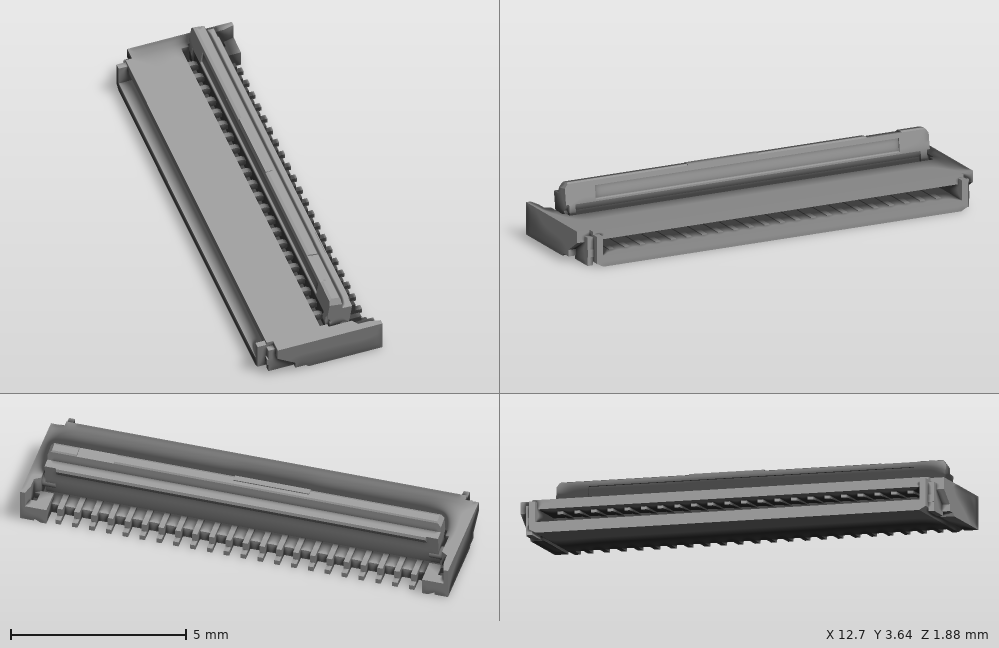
import cadquery as cq

WIDTH = 12.7
DEPTH = 3.64
BODY_TOP = 1.0
CORE_HALF = 5.95
SIDE_BOTTOM = 0.03
ROOF_FRONT = 0.27
JAW_TOP = 0.915
CORNER_CHAMFER_X = 0.2
CORNER_CHAMFER_Z = 0.11

SLOT_HALF = 5.77
SLOT_FLOOR = 0.31
SLOT_ROOF = 0.727
SLOT_REAR = 1.75
WINDOW_HALF = 5.84
WINDOW_FRONT = 1.92
PIVOT_POCKET_FRONT = 2.15
FLOOR_REAR = 3.1
EAR_INNER = 5.575
EAR_TOP = 0.5
EAR_WALL_REAR = 0.14
EAR_TAPER_FRONT = 2.86
EAR_POCKET_REAR = 3.31
EAR_POCKET_FRONT = 2.98
EAR_POCKET_WALL = 0.22

SIDE_FRONT = 0.465
SIDE_SLANT_TOP = 0.66
SIDE_STEP_Y = 1.0
SIDE_STEP_TOP = 0.31
SIDE_RAMP_FRONT = 1.32
SIDE_RAMP_REAR = 1.4
SIDE_RAMP_TOP = 0.11
TAB_HALF = 6.12
TAB_FRONT = 0.265
TAB_REAR = 1.06
TAB_TOP = 0.84
TAB_NUB = 0.035
TAB_NUB_BOTTOM = 0.26
TAB_NUB_TOP = 0.48

CONTACT_COUNT = 22
PITCH = 0.5
CONTACT_WIDTH = 0.16
CONTACT_REAR = 3.57
TAIL_STEP_Y = 3.37
TAIL_TOP = 0.15
BEAM_TIP = 0.48
BEAM_BOTTOM = 0.2
BEAM_TOP = 0.34
UPPER_TIP = 0.75
UPPER_TIP_BOTTOM = 0.64
NECK_Z = 0.7
POST_FRONT = 1.8
POST_REAR = 2.0
HEAD_FRONT = 1.88
HEAD_STEP_Y = 2.1
HEAD_REAR = 2.3
HEAD_REAR_TOP = 0.8
HEAD_TOP = 0.93
SHANK_TOP = 0.4

LEAN_DEGREES = 9
LEVER_Y = 2.11
LEVER_HALF = 5.84
LEVER_THICK = 0.71
LEVER_FOOT = -0.45
FOOT_SETBACK = 0.12
LEVER_TOP = 0.89
LEVER_FRONT_CHAMFER_Z = 0.04
LEVER_FRONT_CHAMFER_Y = 0.08
GRIP_TOP_REAR = 0.31
GRIP_BREAK = 0.04
LEVER_SHOULDER = 0.6
LEVER_SHOULDER_FRONT = 0.42
LEVER_SHOULDER_RISE = 0.03
BEAD_HALF = 5.49
BEAD_ROOT = 0.70
BEAD_TOP_REAR = 0.74
BEAD_REAR = 0.78
BEAD_REAR_Z = 0.52
BEAD_BOTTOM = 0.34
UNDERCUT_HALF = 5.54
UNDERCUT_DEPTH = 0.1
UNDERCUT_FOOT = 0.15
UNDERCUT_TOP = 0.235
UNDERCUT_BOTTOM = 0.06
END_BEVEL_X = 0.12
END_BEVEL_Z = 0.16
END_NOTCH_HALF = 5.74
END_NOTCH_TOP = 0.25
END_NOTCH_MID = 0.07
END_NOTCH_DEPTH = 0.18
PANEL_HALF = 4.88
PANEL_DEPTH = 0.05
PANEL_BOTTOM = 0.29
PANEL_BOTTOM_RISE = 0.04
PANEL_TOP = 0.70
RIB_LEFT = -1.88
RIB_RIGHT = 0.37
RIB_DEPTH = 0.2
RIB_RISE = 0.033
FLAT_LEFT = 3.87
FLAT_RIGHT = 4.98
FLAT_DROP = 0.04
PIVOT_RADIUS = 0.19
PIVOT_Y = 2.62
PIVOT_Z = 0.75


def block(x0, x1, y0, y1, z0, z1):
    """Box given by its limits along each axis."""
    return cq.Workplane("XY").box(x1 - x0, y1 - y0, z1 - z0, centered=False).translate((x0, y0, z0))


def plate(points, x0, x1):
    """Extrude a (Y, Z) outline from x0 to x1."""
    return cq.Workplane("YZ").workplane(offset=x0).polyline(points).close().extrude(x1 - x0)


def both_sides(shape):
    """Shape together with its mirror image about the middle plane."""
    return shape.union(shape.mirror("YZ"))


def make_core():
    """Central block with the cable slot, jaw and rear opening."""
    outline = [
        (-CORE_HALF + CORNER_CHAMFER_X, 0),
        (CORE_HALF - CORNER_CHAMFER_X, 0),
        (CORE_HALF, CORNER_CHAMFER_Z),
        (CORE_HALF, BODY_TOP),
        (-CORE_HALF, BODY_TOP),
        (-CORE_HALF, CORNER_CHAMFER_Z),
    ]
    core = cq.Workplane("XZ").polyline(outline).close().extrude(-DEPTH)
    core = core.cut(block(-CORE_HALF, CORE_HALF, 0, ROOF_FRONT, JAW_TOP, BODY_TOP))
    core = core.cut(block(-SLOT_HALF, SLOT_HALF, 0, ROOF_FRONT, SLOT_ROOF, BODY_TOP))
    return core.cut(block(-SLOT_HALF, SLOT_HALF, 0, SLOT_REAR, SLOT_FLOOR, SLOT_ROOF))


def make_side():
    """Left side plate, with its lower front corner cut away over the tab."""
    outline = [
        (DEPTH, SIDE_BOTTOM),
        (SIDE_RAMP_REAR, SIDE_BOTTOM),
        (SIDE_RAMP_FRONT, SIDE_RAMP_TOP),
        (SIDE_STEP_Y, SIDE_RAMP_TOP),
        (SIDE_STEP_Y, SIDE_STEP_TOP),
        (SIDE_FRONT, SIDE_SLANT_TOP),
        (SIDE_FRONT, BODY_TOP),
        (DEPTH, BODY_TOP),
    ]
    return plate(outline, -WIDTH / 2, -CORE_HALF)


def make_tab():
    """Left solder tab, with a small nub on its front edge."""
    tab = block(-TAB_HALF, -CORE_HALF, TAB_FRONT, TAB_REAR, 0, TAB_TOP)
    nub_y = TAB_FRONT - TAB_NUB
    return tab.union(block(-TAB_HALF, -CORE_HALF, nub_y, TAB_FRONT, TAB_NUB_BOTTOM, TAB_NUB_TOP))


def ear_step():
    """Left volume removed above the low inner step of the rear ear, with a deeper pocket beside the wall."""
    wall = -WIDTH / 2
    pocket_x = wall + EAR_POCKET_WALL
    outline = [
        (-EAR_INNER, DEPTH),
        (wall + EAR_WALL_REAR, DEPTH),
        (pocket_x, EAR_POCKET_REAR),
        (pocket_x, EAR_POCKET_FRONT),
        (-CORE_HALF, EAR_TAPER_FRONT),
        (-EAR_INNER, EAR_TAPER_FRONT),
    ]
    step = cq.Workplane("XY").workplane(offset=EAR_TOP).polyline(outline).close().extrude(BODY_TOP)
    return step.union(block(pocket_x, -CORE_HALF, EAR_POCKET_FRONT, EAR_POCKET_REAR, SLOT_FLOOR, BODY_TOP))


def make_housing():
    housing = make_core().union(both_sides(make_side())).union(both_sides(make_tab()))
    window = block(-WINDOW_HALF, WINDOW_HALF, WINDOW_FRONT, EAR_TAPER_FRONT, SLOT_FLOOR, BODY_TOP)
    pocket = block(-CORE_HALF, CORE_HALF, PIVOT_POCKET_FRONT, EAR_TAPER_FRONT, SLOT_FLOOR, BODY_TOP)
    rear_shelf = block(-EAR_INNER, EAR_INNER, EAR_TAPER_FRONT, DEPTH, SLOT_FLOOR, BODY_TOP)
    rear_gap = block(-EAR_INNER, EAR_INNER, FLOOR_REAR, DEPTH, 0, BODY_TOP)
    for cutter in (window, pocket, rear_shelf, rear_gap, both_sides(ear_step())):
        housing = housing.cut(cutter)
    return housing


def make_contact():
    """One contact centred on X = 0: lower beam, upper beam, joining post and solder tail."""
    outline = [
        (BEAM_TIP, BEAM_BOTTOM),
        (BEAM_TIP, BEAM_TOP),
        (POST_FRONT, BEAM_TOP),
        (POST_FRONT, NECK_Z),
        (UPPER_TIP, UPPER_TIP_BOTTOM),
        (UPPER_TIP, SLOT_ROOF),
        (POST_FRONT, SLOT_ROOF),
        (HEAD_FRONT, HEAD_TOP),
        (HEAD_STEP_Y, HEAD_TOP),
        (HEAD_REAR, HEAD_REAR_TOP),
        (HEAD_REAR, NECK_Z),
        (POST_REAR, NECK_Z),
        (POST_REAR, SHANK_TOP),
        (TAIL_STEP_Y, SHANK_TOP),
        (TAIL_STEP_Y, TAIL_TOP),
        (CONTACT_REAR, TAIL_TOP),
        (CONTACT_REAR, 0),
        (FLOOR_REAR, 0),
        (FLOOR_REAR, BEAM_BOTTOM),
    ]
    return plate(outline, -CONTACT_WIDTH / 2, CONTACT_WIDTH / 2)


def lever_body():
    """Main lever section: thick lower part, narrower grip and a shoulder behind it."""
    outline = [
        (FOOT_SETBACK, LEVER_FOOT),
        (0, 0),
        (0, LEVER_TOP - LEVER_FRONT_CHAMFER_Z),
        (LEVER_FRONT_CHAMFER_Y, LEVER_TOP),
        (GRIP_TOP_REAR, LEVER_TOP),
        (GRIP_TOP_REAR + GRIP_BREAK, LEVER_TOP - GRIP_BREAK),
        (LEVER_SHOULDER_FRONT, LEVER_SHOULDER - LEVER_SHOULDER_RISE),
        (LEVER_THICK, LEVER_SHOULDER),
        (LEVER_THICK, LEVER_FOOT),
    ]
    return plate(outline, -LEVER_HALF, LEVER_HALF)


def lever_bead():
    """Finger bead along the rear of the shoulder."""
    outline = [
        (BEAD_ROOT, LEVER_SHOULDER),
        (BEAD_TOP_REAR, LEVER_SHOULDER),
        (BEAD_REAR, BEAD_REAR_Z),
        (LEVER_THICK, BEAD_BOTTOM),
        (BEAD_ROOT, BEAD_BOTTOM),
    ]
    return plate(outline, -BEAD_HALF, BEAD_HALF)


def lever_rib():
    """Raised strip along the top edge that squares off the front chamfer."""
    front_z = LEVER_TOP - LEVER_FRONT_CHAMFER_Z
    outline = [(0, front_z), (0, LEVER_TOP), (RIB_DEPTH, LEVER_TOP + RIB_RISE), (RIB_DEPTH, front_z)]
    return plate(outline, RIB_LEFT, RIB_RIGHT)


def lever_flat():
    """Shallow flat cut into the top edge."""
    return block(FLAT_LEFT, FLAT_RIGHT, 0, LEVER_THICK, LEVER_TOP - FLAT_DROP, LEVER_TOP)


def lever_undercut():
    """Slanted step along the lower front face, between the two end feet."""
    outline = [
        (0, UNDERCUT_TOP),
        (UNDERCUT_DEPTH, UNDERCUT_BOTTOM),
        (UNDERCUT_FOOT, LEVER_FOOT),
        (0, LEVER_FOOT),
    ]
    return plate(outline, -UNDERCUT_HALF, UNDERCUT_HALF)


def lever_panel():
    """Shallow recess in the front face with a sloping lower edge."""
    outline = [
        (0, PANEL_BOTTOM),
        (PANEL_DEPTH, PANEL_BOTTOM + PANEL_BOTTOM_RISE),
        (PANEL_DEPTH, PANEL_TOP),
        (0, PANEL_TOP),
    ]
    return plate(outline, -PANEL_HALF, PANEL_HALF)


def lever_end_bevel():
    """Left volume that bevels the upper end corner of the lever."""
    corner = [
        (-LEVER_HALF, LEVER_TOP - END_BEVEL_Z),
        (-LEVER_HALF, LEVER_TOP),
        (-LEVER_HALF + END_BEVEL_X, LEVER_TOP),
    ]
    return cq.Workplane("XZ").polyline(corner).close().extrude(-LEVER_THICK)


def lever_end_notch():
    """Left volume that relieves the lower front corner at the lever end."""
    outline = [
        (0, END_NOTCH_TOP),
        (END_NOTCH_DEPTH, END_NOTCH_MID),
        (FOOT_SETBACK, 0),
        (FOOT_SETBACK, LEVER_FOOT),
        (0, LEVER_FOOT),
    ]
    return plate(outline, -LEVER_HALF, -END_NOTCH_HALF)


def make_lever():
    lever = lever_body().union(lever_bead()).union(lever_rib())
    for cutter in (lever_flat(), lever_undercut(), lever_panel()):
        lever = lever.cut(cutter)
    for end_cutter in (lever_end_bevel(), lever_end_notch()):
        lever = lever.cut(both_sides(end_cutter))
    lever = lever.rotate((0, 0, 0), (1, 0, 0), -LEAN_DEGREES).translate((0, LEVER_Y, BODY_TOP))
    return lever.union(make_pivot())


def make_pivot():
    """Round pivot pin at each end of the lever, seated in the housing."""
    pin = cq.Workplane("YZ").workplane(offset=-CORE_HALF).center(PIVOT_Y, PIVOT_Z).circle(PIVOT_RADIUS)
    return both_sides(pin.extrude(CORE_HALF - UNDERCUT_HALF))


def contact_row():
    """All contacts, evenly pitched and centred across the width."""
    first_x = -(CONTACT_COUNT - 1) * PITCH / 2
    places = [(first_x + i * PITCH, 0, 0) for i in range(CONTACT_COUNT)]
    contact = make_contact()
    return [contact.translate(place) for place in places]


result = make_housing().union(make_lever())
for contact in contact_row():
    result = result.union(contact)